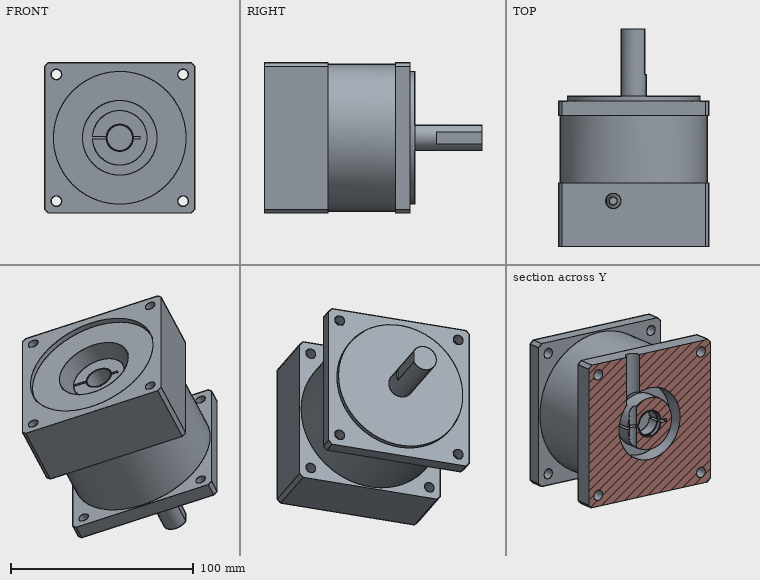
import cadquery as cq

total_length = 119.6
body_side = 82.6
corner_chamfer = 2.0

adapter_length = 35.0
barrel_length = 37.0
flange_thickness = 8.0
pilot_thickness = 2.6

barrel_diameter = 81.0
pilot_diameter = 73.0

bolt_spacing = 69.6
bolt_hole_diameter = 5.6

shaft_diameter = 14.0
flat_cut_depth = 0.8
flat_length = 25.0

motor_pilot_depth = 3.0
hub_recess_diameter = 41.0

hub_diameter = 30.0
hub_front_depth = 10.0
hub_bore_diameter = 15.0
slot_width = 1.3
slot_reach = 11.1

bushing_bore_diameter = 14.0
bushing_slit_width = 1.7
bushing_length = 17.9

screw_offset = 11.2
screw_depth = 25.1
screw_hole_diameter = 4.3
access_hole_diameter = 8.4

flange_start = adapter_length + barrel_length
pilot_start = flange_start + flange_thickness
shaft_start = pilot_start + pilot_thickness
shaft_length = total_length - shaft_start
hub_length = adapter_length - hub_front_depth
half_side = body_side / 2


def plane_at(y):
    """Plane across the axis at the given Y, with X kept as X and the normal along +Y."""
    return cq.Workplane(cq.Plane(origin=(0, y, 0), xDir=(1, 0, 0), normal=(0, 1, 0)))


def cylinder(diameter, start, length):
    return plane_at(start).circle(diameter / 2).extrude(length)


def square_plate(start, length):
    """Square block with chamfered corners and a bolt hole in each corner."""
    plate = plane_at(start).rect(body_side, body_side).extrude(length)
    plate = plate.edges("|Y").chamfer(corner_chamfer)
    bolt_holes = (
        plane_at(start)
        .rect(bolt_spacing, bolt_spacing, forConstruction=True)
        .vertices()
        .circle(bolt_hole_diameter / 2)
        .extrude(length)
    )
    return plate.cut(bolt_holes)


def vertical_hole(diameter, bottom, top):
    """Cylinder along Z on the axis of the clamp screw."""
    plane = cq.Workplane("XY", origin=(-screw_offset, screw_depth, bottom))
    return plane.circle(diameter / 2).extrude(top - bottom)


def make_output_shaft():
    shaft = cylinder(shaft_diameter, shaft_start, shaft_length)
    flat_cut = cq.Workplane("XY").box(
        flat_cut_depth, flat_length, shaft_diameter, centered=(False, False, True)
    )
    flat_cut = flat_cut.translate((shaft_diameter / 2 - flat_cut_depth, total_length - flat_length, 0))
    return shaft.cut(flat_cut)


def make_housing():
    """Adapter, barrel, flange and pilot, with the recesses on the motor side."""
    housing = square_plate(0, adapter_length)
    housing = housing.union(cylinder(barrel_diameter, adapter_length, barrel_length))
    housing = housing.union(square_plate(flange_start, flange_thickness))
    housing = housing.union(cylinder(pilot_diameter, pilot_start, pilot_thickness))
    housing = housing.cut(cylinder(pilot_diameter, 0, motor_pilot_depth))
    housing = housing.cut(cylinder(hub_recess_diameter, 0, adapter_length))
    return housing.cut(vertical_hole(access_hole_diameter, 0, half_side))


def make_clamp_hub():
    """Split ring on the floor of the hub recess, bored to seat the bushing against a shoulder."""
    hub = cylinder(hub_diameter, hub_front_depth, hub_length)
    hub = hub.cut(cylinder(hub_bore_diameter, hub_front_depth, bushing_length))
    hub = hub.cut(cylinder(bushing_bore_diameter, hub_front_depth, hub_length))

    slot = cq.Workplane("XY").box(
        hub_diameter / 2 + slot_reach, hub_length, slot_width, centered=(False, False, True)
    )
    hub = hub.cut(slot.translate((-hub_diameter / 2, hub_front_depth, 0)))
    return hub.cut(vertical_hole(screw_hole_diameter, -hub_diameter / 2, hub_diameter / 2))


def make_gearbox():
    """Housing with the clamp hub and the output shaft in one piece."""
    return make_housing().union(make_clamp_hub()).union(make_output_shaft())


def make_bushing():
    """Thin sleeve lining the hub bore, slit along its -Z side."""
    bushing = cylinder(hub_bore_diameter, hub_front_depth, bushing_length)
    bushing = bushing.cut(cylinder(bushing_bore_diameter, hub_front_depth, bushing_length))
    slit = cq.Workplane("XY").box(
        bushing_slit_width, bushing_length, hub_bore_diameter / 2, centered=(True, False, False)
    )
    return bushing.cut(slit.translate((0, hub_front_depth, -hub_bore_diameter / 2)))


gearbox = make_gearbox()
bushing = make_bushing()

result = cq.Compound.makeCompound([gearbox.val(), bushing.val()])